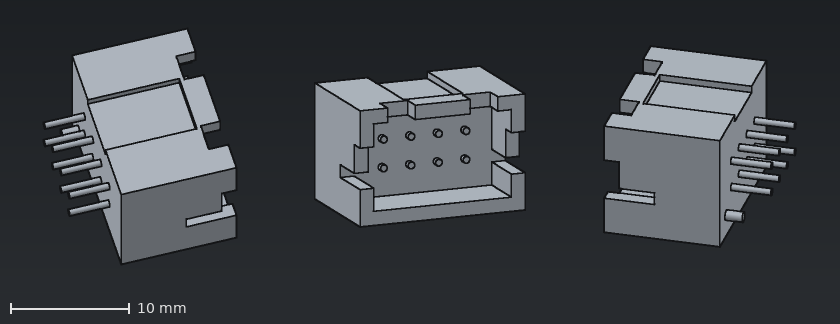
import cadquery as cq

width = 15.0
depth = 10.1
height = 10.1
wall = 1.25

pin_columns = 4
pin_rows = 2
pitch = 2.5
pin_diameter = 0.6
pin_tail = 3.5
pin_tip_inset = 3.9

side_slot_depth = 4.4
side_slot_width = 1.1
side_notch_depth = 1.3
side_slot_center = -pitch / 2
side_opening_bottom = side_slot_center - side_slot_width / 2
side_notch_top = -side_opening_bottom

top_notch_width = 2.5
top_notch_depth = 1.7
top_notch_offset = 3.75

recess_width = 5.4
recess_depth = 0.6
recess_end_inset = 2.1

peg_diameter = 0.9
peg_length = 1.5
peg_x = -5.45
peg_z = -3.05

cavity_depth = side_slot_depth
top = height / 2


def block(x_range, y_range, z_range):
    """Box spanning the given (low, high) ranges."""
    ranges = (x_range, y_range, z_range)
    sizes = [high - low for low, high in ranges]
    corner = cq.Vector(*[low for low, high in ranges])
    return cq.Workplane("XY").box(*sizes, centered=False).translate(corner)


def centered_range(size, center=0.0):
    return (center - size / 2, center + size / 2)


def rod(x, z, diameter, y_start, y_end):
    """Round bar parallel to Y."""
    length = y_end - y_start
    axis = cq.Vector(0, 1, 0)
    return cq.Solid.makeCylinder(diameter / 2, length, cq.Vector(x, y_start, z), axis)


def rim_range(cut_depth):
    """Y range of a cut that enters from the open rim."""
    return (depth - cut_depth, depth)


def make_housing():
    housing = block(centered_range(width), (0, depth), centered_range(height))
    cavity = block(
        centered_range(width - 2 * wall),
        rim_range(cavity_depth),
        centered_range(height - 2 * wall),
    )
    return housing.cut(cavity)


def cut_side_openings(body):
    across = centered_range(width)
    slot_z = centered_range(side_slot_width, side_slot_center)
    slot = block(across, rim_range(side_slot_depth), slot_z)
    notch = block(across, rim_range(side_notch_depth), (side_opening_bottom, side_notch_top))
    return body.cut(slot).cut(notch)


def cut_top_notches(body):
    for center in (-top_notch_offset, top_notch_offset):
        notch_x = centered_range(top_notch_width, center)
        body = body.cut(block(notch_x, rim_range(top_notch_depth), (top - wall, top)))
    return body


def cut_top_recess(body):
    recess_y = (0, depth - recess_end_inset)
    return body.cut(block(centered_range(recess_width), recess_y, (top - recess_depth, top)))


def add_pins(body):
    for column in range(pin_columns):
        x = (column - (pin_columns - 1) / 2) * pitch
        for row in range(pin_rows):
            z = (row - (pin_rows - 1) / 2) * pitch
            body = body.union(rod(x, z, pin_diameter, -pin_tail, depth - pin_tip_inset))
    return body


def add_peg(body):
    root = wall
    return body.union(rod(peg_x, peg_z, peg_diameter, -peg_length, root))


body = make_housing()
body = cut_side_openings(body)
body = cut_top_notches(body)
body = cut_top_recess(body)
body = add_pins(body)
result = add_peg(body)